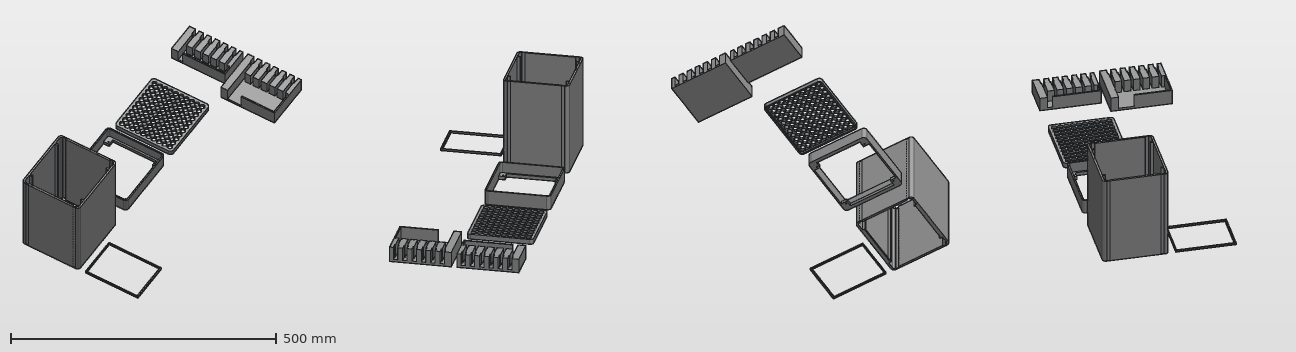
import cadquery as cq
foot_x = 127.0
foot_y = 136.0
corner_radius = 7.0
center_x = foot_x / 2

fan_frame_y = 170.0
plate_y = 329.7
layout_back_y = 596.0
layout_right_x = 258.0

housing_height = 180.0
housing_wall = 4.0
inner_radius = corner_radius - housing_wall
groove_depth = 2.0
groove_width = 6.0
groove_inset = 8.5
rib_length = 5.5
rib_thickness = 3.5
rib_gap = 87.0
sill_depth = 3.5
sill_height = 5.0

fan_frame_height = 28.0
fan_frame_wall = 3.0
ledge_depth = 4.0
ledge_thickness = 7.0
screw_spacing = 105.0
screw_diameter = 2.0
tab_reach = 4.5

plate_height = 10.0
plate_web = 5.0
plate_skirt_wall = 3.0
plate_border = 4.5
plate_columns = 10
plate_rows = 11
plate_hole_diameter = 10.0

tray_x = 119.0
tray_floor = 5.0
tray_wall = 2.7
tray_block = 15.0
short_tray_y = 64.0
short_tray_height = 28.0
short_tray_opening = 10.0
long_tray_y = 96.0
long_tray_height = 30.0
long_tray_opening = 30.0
long_tray_offset = 130.0
slot_count = 6
slot_pitch = 18.0
slot_width = 5.0
slot_mouth_width = 8.2
slot_mouth_depth = 12.5
comb_depth = 43.0

slide_x = 117.0
slide_y = 84.0
slide_height = 4.0
slide_front_y = 1.0
slide_bar = 2.0
slide_end_bar = 3.0


def box(x0, x1, y0, y1, z0, z1):
    """Box given by its limits along X, Y and Z."""
    return cq.Workplane("XY").box(x1 - x0, y1 - y0, z1 - z0, centered=False).translate((x0, y0, z0))


def rounded_block(front_y, inset, radius, height):
    """Upright block on the shared footprint, moved in by `inset` on each side."""
    block = box(inset, foot_x - inset, front_y + inset, front_y + foot_y - inset, 0, height)
    return block.edges("|Z").fillet(radius)


def make_housing():
    body = rounded_block(0, 0, corner_radius, housing_height)
    body = body.cut(rounded_block(0, housing_wall, inner_radius, housing_height))

    groove_y0 = housing_wall - groove_depth
    for groove_x in (groove_inset, foot_x - groove_inset - groove_width):
        body = body.cut(
            box(groove_x, groove_x + groove_width, groove_y0, foot_y - groove_y0, 0, housing_height)
            .cut(box(0, foot_x, housing_wall, foot_y - housing_wall, 0, housing_height))
        )

    gap_y0 = (foot_y - rib_gap) / 2
    gap_y1 = gap_y0 + rib_gap
    for outer_x, inward in ((0, 1), (foot_x, -1)):
        wall_x = outer_x + inward * housing_wall / 2
        rib_x0, rib_x1 = sorted((wall_x, outer_x + inward * (housing_wall + rib_length)))
        sill_x0, sill_x1 = sorted((wall_x, outer_x + inward * (housing_wall + sill_depth)))
        body = body.union(box(rib_x0, rib_x1, gap_y0 - rib_thickness, gap_y0, 0, housing_height))
        body = body.union(box(rib_x0, rib_x1, gap_y1, gap_y1 + rib_thickness, 0, housing_height))
        body = body.union(box(sill_x0, sill_x1, gap_y0, gap_y1, 0, sill_height))
    return body


def make_fan_frame():
    center_y = fan_frame_y + foot_y / 2
    body = rounded_block(fan_frame_y, 0, corner_radius, fan_frame_height)
    cavity = rounded_block(fan_frame_y, fan_frame_wall, corner_radius - fan_frame_wall, fan_frame_height)

    tab_edge = screw_spacing / 2 - tab_reach
    ledge_edge = foot_y / 2 - fan_frame_wall - ledge_depth
    long_opening = box(
        center_x - tab_edge, center_x + tab_edge,
        center_y - ledge_edge, center_y + ledge_edge, 0, ledge_thickness,
    )
    wide_opening = box(
        fan_frame_wall, foot_x - fan_frame_wall,
        center_y - tab_edge, center_y + tab_edge, 0, ledge_thickness,
    )
    screw_holes = (
        cq.Workplane("XY").center(center_x, center_y)
        .rect(screw_spacing, screw_spacing, forConstruction=True).vertices()
        .circle(screw_diameter / 2).extrude(ledge_thickness)
    )
    body = body.cut(cavity.translate((0, 0, ledge_thickness)))
    return body.cut(long_opening).cut(wide_opening).cut(screw_holes)


def make_hole_plate():
    pitch_x = (foot_x - 2 * plate_border) / plate_columns
    pitch_y = (foot_y - 2 * plate_border) / plate_rows
    holes = (
        cq.Workplane("XY").center(center_x, plate_y + foot_y / 2)
        .rarray(pitch_x, pitch_y, plate_columns, plate_rows)
        .circle(plate_hole_diameter / 2).extrude(plate_height)
    )
    cavity = rounded_block(
        plate_y, plate_skirt_wall, corner_radius - plate_skirt_wall, plate_height - plate_web
    )
    return rounded_block(plate_y, 0, corner_radius, plate_height).cut(cavity).cut(holes)


def make_tray(left_x, depth, tray_height, opening_width):
    """Tray with a row of stepped slots along its back and an open pocket in front of them."""
    right_x = left_x + tray_x
    front_y = layout_back_y - depth
    comb_y = layout_back_y - comb_depth
    mouth_y = layout_back_y - slot_mouth_depth
    pocket_x = left_x + tray_block

    body = box(left_x, right_x, front_y, layout_back_y, 0, tray_height)
    body = body.cut(box(pocket_x, right_x - tray_wall, front_y + tray_wall, comb_y, tray_floor, tray_height))
    body = body.cut(
        box(pocket_x, pocket_x + opening_width, front_y, front_y + tray_wall, tray_floor, tray_height)
    )
    for slot in range(slot_count):
        slot_x = pocket_x + slot_width / 2 + slot * slot_pitch
        for width, slot_front_y in ((slot_width, comb_y), (slot_mouth_width, mouth_y)):
            body = body.cut(
                box(slot_x - width / 2, slot_x + width / 2, slot_front_y, layout_back_y, tray_floor, tray_height)
            )
    return body


def make_slide_frame():
    left_x = layout_right_x - slide_x
    back_y = slide_front_y + slide_y
    body = box(left_x, layout_right_x, slide_front_y, back_y, 0, slide_height)
    return body.cut(
        box(
            left_x + slide_bar, layout_right_x - slide_end_bar,
            slide_front_y + slide_bar, back_y - slide_bar, 0, slide_height,
        )
    )


housing = make_housing()
fan_frame = make_fan_frame()
hole_plate = make_hole_plate()
short_tray = make_tray(0, short_tray_y, short_tray_height, short_tray_opening)
long_tray = make_tray(long_tray_offset, long_tray_y, long_tray_height, long_tray_opening)
slide_frame = make_slide_frame()

result = cq.Compound.makeCompound(
    [
        housing.val(),
        fan_frame.val(),
        hole_plate.val(),
        short_tray.val(),
        long_tray.val(),
        slide_frame.val(),
    ]
)